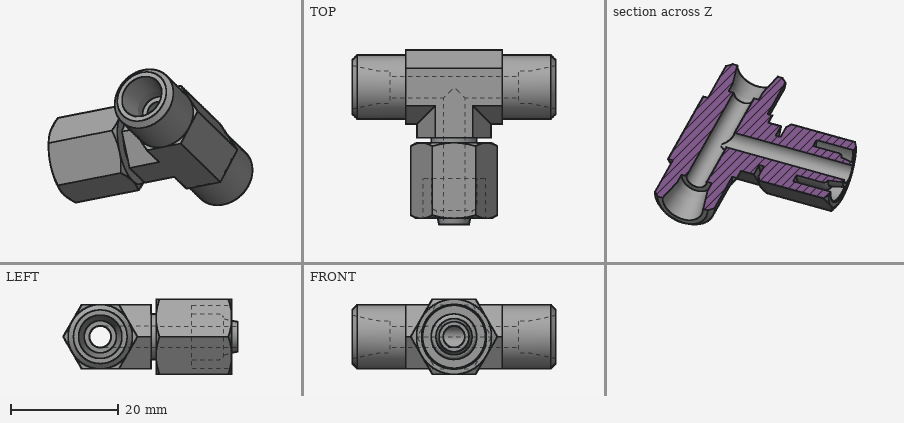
import cadquery as cq
import math

BODY_FLATS = 12.0
RUN_HEX_HALF_LENGTH = 9.0
BRANCH_HEX_END = 9.5
BORE_RADIUS = 2.0

STUD_END = 19.0
STUD_RADIUS = 6.0
STUD_CHAMFER = 1.0
SEAT_MOUTH_RADIUS = 4.05
SOCKET_RADIUS = 3.0
SOCKET_DEPTH = 7.0

CONE_HALF_ANGLE = math.radians(12)
STEM_RADIUS = 4.25
STEM_END = 25.65
TIP_RADIUS = 2.8
CONE_LENGTH = 2.7
CONE_BASE_RADIUS = TIP_RADIUS + CONE_LENGTH * math.tan(CONE_HALF_ANGLE)
SHOULDER_ROUND = STEM_RADIUS - CONE_BASE_RADIUS

NUT_FLATS = 14.0
NUT_START = 10.4
NUT_END = 24.5
NUT_CHAMFER_ANGLE = math.radians(30)
NUT_BORE_RADIUS = 5.85
NUT_BORE_DEPTH = 7.5
NUT_MOUTH_CHAMFER = 0.2


def corner_radius(flats):
    """Centre-to-corner distance of a hexagon with the given width across flats."""
    return flats / math.sqrt(3)


def branch_plane(distance):
    """Sketch plane across the branch, with its normal pointing outward along -Y."""
    return cq.Workplane("XZ", origin=(0, -distance, 0))


def revolve_about_y(points):
    """Revolve a closed outline of (radius, distance along -Y) points about the branch axis."""
    outline = [(radius, -distance) for radius, distance in points]
    return cq.Workplane("XY").polyline(outline).close().revolve(360, (0, 0, 0), (0, 1, 0))


def make_body():
    run = (
        cq.Workplane("YZ", origin=(-RUN_HEX_HALF_LENGTH, 0, 0))
        .polygon(6, 2 * corner_radius(BODY_FLATS))
        .extrude(2 * RUN_HEX_HALF_LENGTH)
    )
    branch = branch_plane(0).polygon(6, 2 * corner_radius(BODY_FLATS)).extrude(BRANCH_HEX_END)
    studs = (
        cq.Workplane("YZ", origin=(-STUD_END, 0, 0))
        .circle(STUD_RADIUS)
        .extrude(2 * STUD_END)
        .faces("<X or >X")
        .chamfer(STUD_CHAMFER)
    )
    return run.union(branch).union(studs)


def make_socket(side):
    """Tube socket in one run end: a conical seat leading to a straight, flat-bottomed hole."""
    cone_depth = (SEAT_MOUTH_RADIUS - SOCKET_RADIUS) / math.tan(CONE_HALF_ANGLE)
    outline = [
        (side * STUD_END, 0),
        (side * STUD_END, SEAT_MOUTH_RADIUS),
        (side * (STUD_END - cone_depth), SOCKET_RADIUS),
        (side * (STUD_END - SOCKET_DEPTH), SOCKET_RADIUS),
        (side * (STUD_END - SOCKET_DEPTH), 0),
    ]
    return cq.Workplane("XY").polyline(outline).close().revolve(360, (0, 0, 0), (1, 0, 0))


def make_stem():
    cone_base = STEM_END - CONE_LENGTH
    round_offset = SHOULDER_ROUND * math.sqrt(0.5)
    round_start = cone_base - SHOULDER_ROUND
    return (
        cq.Workplane("XY")
        .moveTo(0, 0)
        .lineTo(STEM_RADIUS, 0)
        .lineTo(STEM_RADIUS, -round_start)
        .threePointArc(
            (CONE_BASE_RADIUS + round_offset, -(round_start + round_offset)),
            (CONE_BASE_RADIUS, -cone_base),
        )
        .lineTo(TIP_RADIUS, -STEM_END)
        .lineTo(0, -STEM_END)
        .close()
        .revolve(360, (0, 0, 0), (0, 1, 0))
    )


def make_nut():
    nut_corner = corner_radius(NUT_FLATS)
    face_radius = NUT_FLATS / 2
    chamfer_length = (nut_corner - face_radius) * math.tan(NUT_CHAMFER_ANGLE)
    hexagon = branch_plane(NUT_START).polygon(6, 2 * nut_corner).extrude(NUT_END - NUT_START)
    chamfered_envelope = revolve_about_y([
        (0, NUT_START),
        (face_radius, NUT_START),
        (nut_corner, NUT_START + chamfer_length),
        (nut_corner, NUT_END - chamfer_length),
        (face_radius, NUT_END),
        (0, NUT_END),
    ])
    bore = revolve_about_y([
        (0, NUT_END),
        (NUT_BORE_RADIUS + NUT_MOUTH_CHAMFER, NUT_END),
        (NUT_BORE_RADIUS, NUT_END - NUT_MOUTH_CHAMFER),
        (NUT_BORE_RADIUS, NUT_END - NUT_BORE_DEPTH),
        (0, NUT_END - NUT_BORE_DEPTH),
    ])
    return hexagon.intersect(chamfered_envelope).cut(bore)


def make_bores():
    run_bore = cq.Workplane("YZ", origin=(-STUD_END, 0, 0)).circle(BORE_RADIUS).extrude(2 * STUD_END)
    branch_bore = branch_plane(0).circle(BORE_RADIUS).extrude(STEM_END)
    return run_bore.union(branch_bore)


result = make_body().union(make_nut()).union(make_stem())
for side in (-1, 1):
    result = result.cut(make_socket(side))
result = result.cut(make_bores())